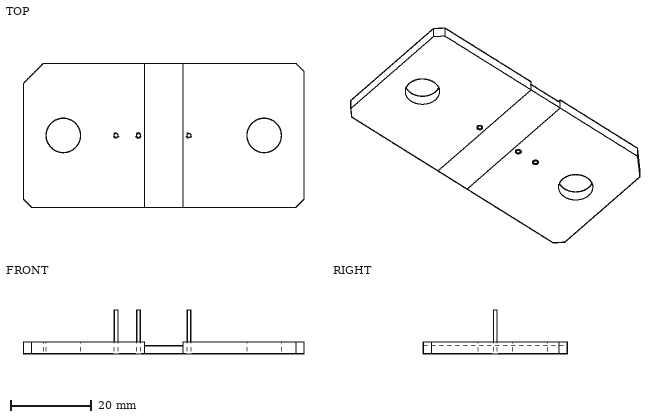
import cadquery as cq

length = 70.0
width = 36.0
plate_thickness = 3.0
corner_chamfer = 2.0
key_chamfer = 5.0

strip_length = 9.5
strip_thickness = 2.0

hole_offset = 25.05
hole_diameter = 8.55

pin_positions = [-11.9, -6.3, 6.3]
pin_diameter = 1.0
pin_rise = 8.0
head_diameter = 1.5
head_thickness = 0.1

plate_length = (length - strip_length) / 2
plate_center = (length - plate_length) / 2


def make_plate(side):
    """Plate on the left (side = -1) or right (side = 1) with its mounting hole and pin holes."""
    plate = cq.Workplane("XY").box(
        plate_length, width, plate_thickness, centered=(True, True, False)
    ).translate((side * plate_center, 0, 0))

    outer_face = "<X" if side < 0 else ">X"
    back_chamfer = key_chamfer if side < 0 else corner_chamfer
    plate = plate.faces(outer_face).edges("|Z and <Y").chamfer(corner_chamfer)
    plate = plate.faces(outer_face).edges("|Z and >Y").chamfer(back_chamfer)

    mounting_hole = (
        cq.Workplane("XY")
        .center(side * hole_offset, 0)
        .circle(hole_diameter / 2)
        .extrude(plate_thickness)
    )
    pin_holes = (
        cq.Workplane("XY")
        .pushPoints([(x, 0) for x in pin_positions if x * side > 0])
        .circle(pin_diameter / 2)
        .extrude(plate_thickness)
    )
    return plate.cut(mounting_hole).cut(pin_holes)


def make_strip():
    """Thin strip between the plates, flush with their undersides."""
    return cq.Workplane("XY").box(
        strip_length, width, strip_thickness, centered=(True, True, False)
    )


def make_pin(x):
    """Round pin through a plate, with a flat head against the plate's underside."""
    shank = (
        cq.Workplane("XY")
        .center(x, 0)
        .circle(pin_diameter / 2)
        .extrude(plate_thickness + pin_rise)
    )
    head = (
        cq.Workplane("XY")
        .center(x, 0)
        .circle(head_diameter / 2)
        .extrude(-head_thickness)
    )
    return shank.union(head)


plates = [make_plate(side) for side in (-1, 1)]
strip = make_strip()
pins = [make_pin(x) for x in pin_positions]

result = cq.Compound.makeCompound(
    [
        *[plate.val() for plate in plates],
        strip.val(),
        *[pin.val() for pin in pins],
    ]
)